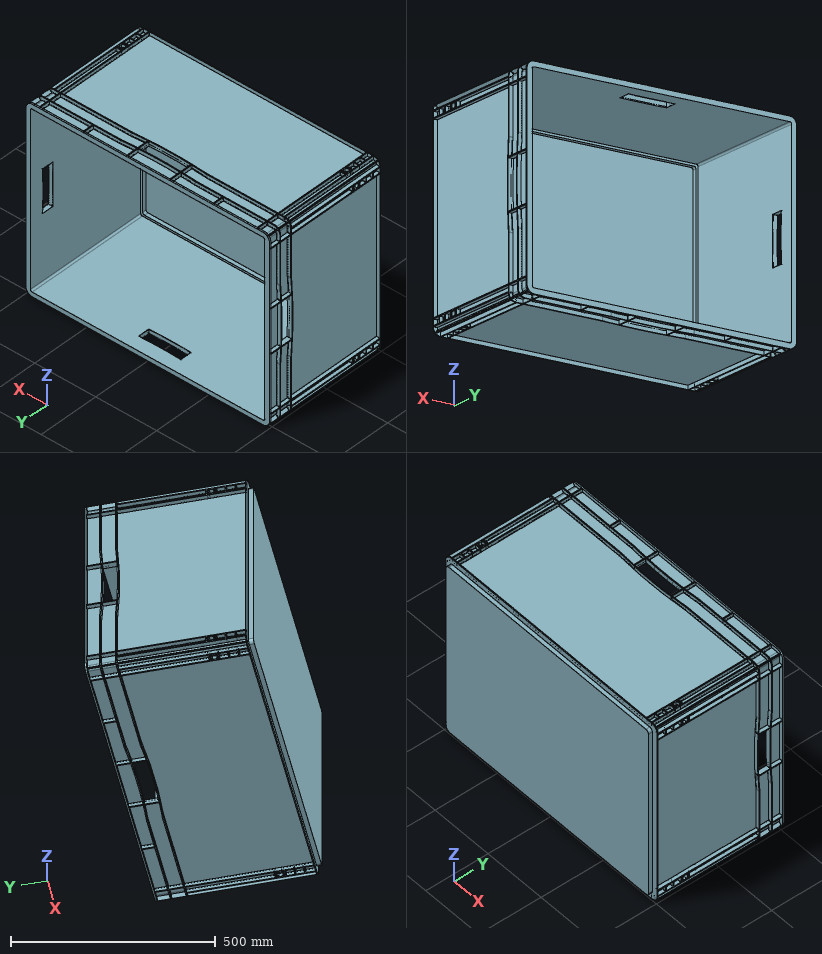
import cadquery as cq
import math

LENGTH = 800.0
WIDTH = 600.0
HEIGHT = 420.0
RIM_RADIUS = 21.0

RECESS = 11.5
WALL = 4.0
PANEL_RADIUS = RIM_RADIUS - RECESS
FOOT_INSET = 18.0
FOOT_HEIGHT = 12.5
FOOT_RADIUS = 10.0
RIM_THICKNESS = 5.0
BASE_FLANGE = 3.0
PANEL_TOP = HEIGHT - RIM_THICKNESS

RIB = 3.0
RIB_DEPTH = RECESS + WALL
UPPER_RIB_Y = HEIGHT - 39.5
LOWER_RIB_Y = HEIGHT - 79.5
RIB_BOW = 5.2
RIB_BOW_HALF_SPAN = 123.0
CORNER_RIB_OFFSET = 22.7
POST_RIB_OFFSET = 42.7
GRIP_RIB_SPACING = 141.0
LONG_SIDE_DIVIDERS = (213.0,)
SHORT_SIDE_DIVIDERS = ()
DIAGONAL_RIB_ROOT = 15.0

POST_GAP = POST_RIB_OFFSET - CORNER_RIB_OFFSET
POST_GAP_CENTER = (POST_RIB_OFFSET + CORNER_RIB_OFFSET) / 2
CROSS_RIB_FIRST_Y = 41.0
CROSS_RIB_PITCH = 24.5
CROSS_RIB_COUNT = 4
RING_Y = CROSS_RIB_FIRST_Y + CROSS_RIB_PITCH * (CROSS_RIB_COUNT - 1.5)
RING_OUTER_RADIUS = 10.0
RING_INNER_RADIUS = 7.5


def slab(inset, radius, y_start, y_end):
    """Rounded rectangle, inset from the outline, between two heights."""
    return (
        cq.Workplane("XZ", origin=(0, y_start, 0))
        .rect(LENGTH - 2 * inset, WIDTH - 2 * inset)
        .extrude(y_start - y_end)
        .edges("|Y")
        .fillet(radius)
    )




def bar(x_center, y_start, y_end, width=RIB):
    """Straight block running along Y."""
    return (
        cq.Workplane("XY")
        .box(width, y_end - y_start, RIB_DEPTH, centered=(True, False, False))
        .translate((x_center, y_start, -RIB_DEPTH))
    )


def bowed_band(half_length, y_bottom, y_top):
    """Band along the side whose two edges sag in an arc at the middle."""
    span = RIB_BOW_HALF_SPAN
    return (
        cq.Workplane("XY")
        .moveTo(-half_length, y_top)
        .lineTo(-span, y_top)
        .threePointArc((0, y_top - RIB_BOW), (span, y_top))
        .lineTo(half_length, y_top)
        .lineTo(half_length, y_bottom)
        .lineTo(span, y_bottom)
        .threePointArc((0, y_bottom - RIB_BOW), (-span, y_bottom))
        .lineTo(-half_length, y_bottom)
        .close()
        .extrude(-RIB_DEPTH)
    )


def disc(x_center, radius, depth):
    return cq.Workplane("XY").center(x_center, RING_Y).circle(radius).extrude(-depth)


def post_details(x_center):
    """Cross ribs and blind ring in the gap between the corner rib and the post rib."""
    details = disc(x_center, RING_OUTER_RADIUS, RIB_DEPTH)
    for i in range(CROSS_RIB_COUNT):
        y = CROSS_RIB_FIRST_Y + i * CROSS_RIB_PITCH
        details = details.union(bar(x_center, y - RIB / 2, y + RIB / 2, POST_GAP))
    return details


def side_ribs(half_length, dividers):
    """All ribs of one side."""
    ribs = bowed_band(half_length, UPPER_RIB_Y - RIB / 2, UPPER_RIB_Y + RIB / 2)
    ribs = ribs.union(bowed_band(half_length, LOWER_RIB_Y - RIB / 2, LOWER_RIB_Y + RIB / 2))
    grip_rib_bottom = LOWER_RIB_Y - RIB_BOW / 2
    for sign in (-1, 1):
        ring_x = sign * (half_length - POST_GAP_CENTER)
        ribs = ribs.union(bar(sign * GRIP_RIB_SPACING / 2, grip_rib_bottom, PANEL_TOP))
        ribs = ribs.union(bar(sign * (half_length - POST_RIB_OFFSET), FOOT_HEIGHT, PANEL_TOP))
        ribs = ribs.union(bar(sign * (half_length - CORNER_RIB_OFFSET), FOOT_HEIGHT, LOWER_RIB_Y))
        for divider in dividers:
            ribs = ribs.union(bar(sign * divider, UPPER_RIB_Y, PANEL_TOP))
        ribs = ribs.union(post_details(ring_x))
        ribs = ribs.cut(disc(ring_x, RING_INNER_RADIUS, RECESS))
    return ribs


def hand_hole():
    """Opening bounded by the upper and lower ribs and the two grip ribs."""
    band = bowed_band(GRIP_RIB_SPACING, LOWER_RIB_Y + RIB / 2, UPPER_RIB_Y - RIB / 2)
    return band.intersect(bar(0, 0, HEIGHT, GRIP_RIB_SPACING - RIB))


def on_side(shape, half_width, quarter_turns):
    """Move a side feature out to its side, half_width from the middle of the crate."""
    return shape.translate((0, 0, half_width)).rotate((0, 0, 0), (0, 1, 0), 90 * quarter_turns)


def diagonal_rib(sign_x, sign_z):
    """Rib along one upright corner, pointing outwards at 45 degrees."""
    return (
        cq.Workplane("XY")
        .box(RIB, PANEL_TOP - FOOT_HEIGHT, RIM_RADIUS, centered=(True, False, False))
        .rotate((0, 0, 0), (0, 1, 0), math.degrees(math.atan2(sign_x, sign_z)))
        .translate(
            (
                sign_x * (LENGTH / 2 - DIAGONAL_RIB_ROOT),
                FOOT_HEIGHT,
                sign_z * (WIDTH / 2 - DIAGONAL_RIB_ROOT),
            )
        )
    )


def build_crate():
    sides = [
        (LENGTH / 2, WIDTH / 2, LONG_SIDE_DIVIDERS),
        (WIDTH / 2, LENGTH / 2, SHORT_SIDE_DIVIDERS),
    ] * 2

    body = slab(RECESS, PANEL_RADIUS, FOOT_HEIGHT, HEIGHT)
    for turn, (half_length, half_width, dividers) in enumerate(sides):
        body = body.union(on_side(side_ribs(half_length, dividers), half_width, turn))
    for sign_x in (-1, 1):
        for sign_z in (-1, 1):
            body = body.union(diagonal_rib(sign_x, sign_z))
    body = body.intersect(slab(0, RIM_RADIUS, 0, HEIGHT))

    body = body.union(slab(0, RIM_RADIUS, PANEL_TOP, HEIGHT))
    body = body.union(slab(0, RIM_RADIUS, FOOT_HEIGHT, FOOT_HEIGHT + BASE_FLANGE))
    body = body.union(slab(FOOT_INSET, FOOT_RADIUS, 0, FOOT_HEIGHT))

    body = body.cut(slab(RECESS + WALL, PANEL_RADIUS - WALL, FOOT_HEIGHT + WALL, HEIGHT))
    body = body.cut(slab(FOOT_INSET + WALL, FOOT_RADIUS - WALL, WALL, HEIGHT))

    for turn, (_, half_width, _) in enumerate(sides):
        body = body.cut(on_side(hand_hole(), half_width, turn))
    return body


result = build_crate()